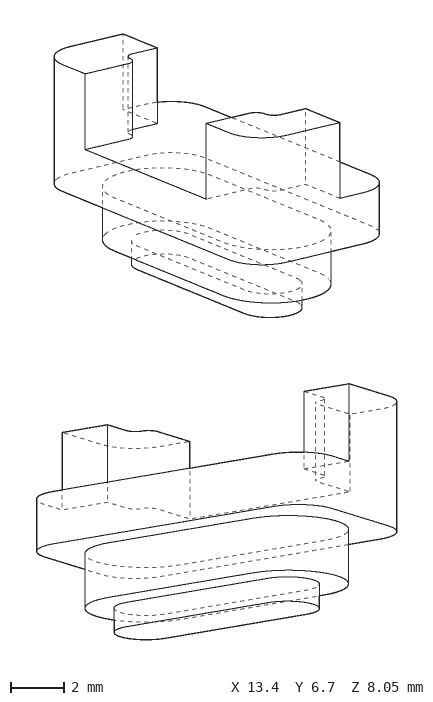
import cadquery as cq

length = 13.4
width = 6.7
plate_height = 2.02
corner_radius = 1.55

post_top = 5.01
post_back_y = 0.7
front_gap = 7.48
back_gap = 9.17
step_y = -0.9
step_radius = (back_gap - front_gap) / 4

upper_plug_length = 11.22
upper_plug_width = 4.52
upper_plug_height = 2.1
lower_plug_length = 9.0
lower_plug_width = 2.41
lower_plug_height = 0.94


def rounded_block(height):
    """Full-footprint block standing on Z = 0 with rounded vertical edges."""
    block = cq.Workplane("XY").rect(length, width).extrude(height)
    return block.edges("|Z").fillet(corner_radius)


def post_region(side):
    """Post area on one side (-1 left, 1 right), with an S-shaped step on its inner face."""
    outer_x = side * length / 2
    back_x = side * back_gap / 2
    front_x = side * front_gap / 2
    middle_x = (back_x + front_x) / 2
    return (
        cq.Workplane("XY")
        .moveTo(outer_x, -width / 2)
        .lineTo(outer_x, post_back_y)
        .lineTo(back_x, post_back_y)
        .lineTo(back_x, step_y + step_radius)
        .radiusArc((middle_x, step_y), side * step_radius)
        .radiusArc((front_x, step_y - step_radius), -side * step_radius)
        .lineTo(front_x, -width / 2)
        .close()
        .extrude(post_top)
    )


def plug_stage(stage_length, stage_width, height, top_z):
    """Obround stage hanging down from top_z."""
    return (
        cq.Workplane("XY")
        .workplane(offset=top_z)
        .slot2D(stage_length, stage_width)
        .extrude(-height)
    )


result = rounded_block(plate_height)
for side in (-1, 1):
    result = result.union(rounded_block(post_top).intersect(post_region(side)))

result = result.union(plug_stage(upper_plug_length, upper_plug_width, upper_plug_height, 0))
result = result.union(
    plug_stage(lower_plug_length, lower_plug_width, lower_plug_height, -upper_plug_height)
)